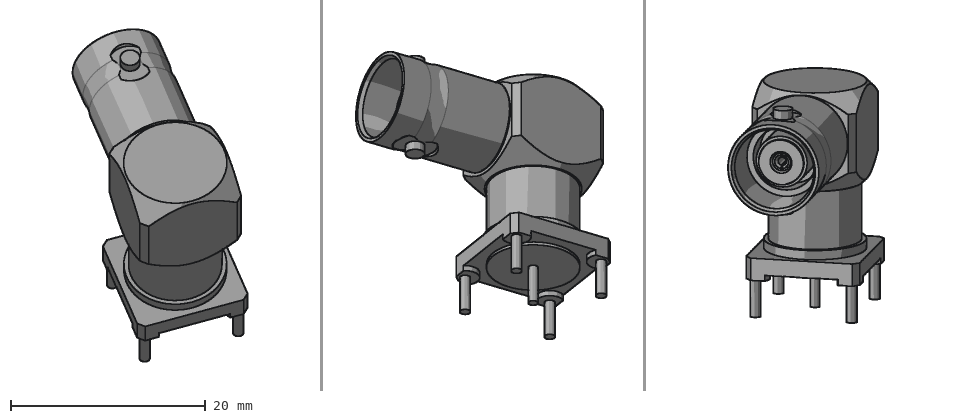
import cadquery as cq
import math


BASE_SIDE = 12.0
BASE_TOP = 2.35
BASE_CORNER_CHAMFER = 0.65
FOOT_HEIGHT = 0.6
FOOT_RADIUS = 1.5
INSULATOR_RADIUS = 4.8
INSULATOR_BOTTOM = 0.26
PIN_OFFSET = 5.08
PIN_RADIUS = 0.55
PIN_LENGTH = 4.0
SIGNAL_PIN_RADIUS = 0.5
SIGNAL_PIN_END = -3.9

COLLAR_RADIUS = 5.28
COLLAR_HEIGHT = 0.97
STEM_RADIUS = 4.8

ELBOW_SIDE = 11.0
ELBOW_BOTTOM = 9.5
ELBOW_TOP = 20.0
ELBOW_EDGE_CHAMFER = 0.7
ELBOW_TOP_FLAT_RADIUS = 5.3
ELBOW_BOTTOM_FLAT_RADIUS = 5.0

AXIS_Z = 15.0
BARREL_RADIUS = 4.8
BARREL_FRONT = -18.38
BARREL_END_TAPER = 0.25

LUG_X = BARREL_FRONT + 4.22
LUG_RADIUS = 1.0
LUG_REACH = 5.5
PAD_HEIGHT = 4.54
PAD_FLOOR_RADIUS = 2.28
PAD_RIM_RADIUS = 2.45
WAIST_DEPTH = 0.12
WAIST_HALF_WIDTH = 1.03

RIM_RADIUS = 4.43
LEAD_IN_DEPTH = 0.45
BORE_MOUTH_RADIUS = 4.18
BORE_FLOOR_RADIUS = 3.98
BORE_DEPTH = 5.0
INNER_BORE_RADIUS = 3.32
INNER_BORE_DEPTH = 8.0
DIELECTRIC_RADIUS = 2.68
DIELECTRIC_TIP_RADIUS = 2.36
DIELECTRIC_FACE_DEPTH = 3.35
DIELECTRIC_SHOULDER_DEPTH = DIELECTRIC_FACE_DEPTH + 0.33
ENTRY_RADIUS = 1.14
CONTACT_RADIUS = 0.94
CONTACT_FACE_DEPTH = DIELECTRIC_FACE_DEPTH + 0.25
CONTACT_MOUTH_RADIUS = 0.72
CONTACT_HOLE_RADIUS = 0.43
CONTACT_HOLE_DEPTH = CONTACT_FACE_DEPTH + 3.0
SLIT_WIDTH = 0.16
SLIT_HALF_HEIGHT = 0.87


def upright_cylinder(radius, bottom, top, x=0.0, y=0.0):
    return cq.Workplane("XY", origin=(x, y, bottom)).circle(radius).extrude(top - bottom)


def chamfered_block(side, bottom, top, chamfer):
    block = cq.Workplane("XY", origin=(0, 0, bottom)).rect(side, side).extrude(top - bottom)
    return block.edges("|Z").chamfer(chamfer)


def revolve_on_barrel_axis(profile):
    """Revolve an (x, radius) outline sketched on the XZ plane about the barrel axis."""
    return profile.close().revolve(360, (0, 0), (1, 0))


def barrel_sketch():
    return cq.Workplane("XZ", origin=(0, 0, AXIS_Z))


def make_base():
    base = chamfered_block(BASE_SIDE, 0, BASE_TOP, BASE_CORNER_CHAMFER)
    corners = [(sx * PIN_OFFSET, sy * PIN_OFFSET) for sx in (-1, 1) for sy in (-1, 1)]

    feet = cq.Workplane("XY").pushPoints(corners).circle(FOOT_RADIUS).extrude(FOOT_HEIGHT)
    recess = cq.Workplane("XY").rect(BASE_SIDE, BASE_SIDE).extrude(FOOT_HEIGHT).cut(feet)
    base = base.cut(recess)

    base = base.union(upright_cylinder(INSULATOR_RADIUS, INSULATOR_BOTTOM, BASE_TOP))
    base = base.union(upright_cylinder(SIGNAL_PIN_RADIUS, SIGNAL_PIN_END, BASE_TOP))
    for x, y in corners:
        base = base.union(upright_cylinder(PIN_RADIUS, -PIN_LENGTH, BASE_TOP, x, y))
    return base


def make_stem():
    collar = upright_cylinder(COLLAR_RADIUS, BASE_TOP, BASE_TOP + COLLAR_HEIGHT)
    return collar.union(upright_cylinder(STEM_RADIUS, BASE_TOP, AXIS_Z))


def make_elbow():
    """Square block whose ends are turned to 45-degree cones."""
    block = chamfered_block(ELBOW_SIDE, ELBOW_BOTTOM, ELBOW_TOP, ELBOW_EDGE_CHAMFER)
    reach = ELBOW_SIDE / math.sqrt(2)
    envelope = (
        cq.Workplane("XZ")
        .moveTo(0, ELBOW_BOTTOM)
        .lineTo(ELBOW_BOTTOM_FLAT_RADIUS, ELBOW_BOTTOM)
        .lineTo(reach, ELBOW_BOTTOM + reach - ELBOW_BOTTOM_FLAT_RADIUS)
        .lineTo(reach, ELBOW_TOP - reach + ELBOW_TOP_FLAT_RADIUS)
        .lineTo(ELBOW_TOP_FLAT_RADIUS, ELBOW_TOP)
        .lineTo(0, ELBOW_TOP)
        .close()
        .revolve(360, (0, 0), (0, 1))
    )
    return block.intersect(envelope)


def make_barrel():
    """Barrel body with the waist around the lugs and a tapered end at the elbow."""
    elbow_face = -ELBOW_SIDE / 2
    return revolve_on_barrel_axis(
        barrel_sketch()
        .moveTo(BARREL_FRONT, 0)
        .lineTo(BARREL_FRONT, BARREL_RADIUS)
        .lineTo(LUG_X - WAIST_HALF_WIDTH, BARREL_RADIUS)
        .threePointArc(
            (LUG_X, BARREL_RADIUS - WAIST_DEPTH),
            (LUG_X + WAIST_HALF_WIDTH, BARREL_RADIUS),
        )
        .lineTo(elbow_face - BARREL_END_TAPER, BARREL_RADIUS)
        .lineTo(elbow_face, BARREL_RADIUS - BARREL_END_TAPER)
        .lineTo(elbow_face, 0)
    )


def make_pad_cutter(side):
    """Cone that relieves the barrel around a lug; side is +1 above and -1 below."""
    slope = (PAD_RIM_RADIUS - PAD_FLOOR_RADIUS) / (BARREL_RADIUS - PAD_HEIGHT)
    height = LUG_REACH - PAD_HEIGHT
    cone = cq.Solid.makeCone(
        PAD_FLOOR_RADIUS,
        PAD_FLOOR_RADIUS + slope * height,
        height,
        cq.Vector(LUG_X, 0, AXIS_Z + side * PAD_HEIGHT),
        cq.Vector(0, 0, side),
    )
    return cq.Workplane(cone)


def make_bore():
    """Stepped socket cavity, leaving the dielectric standing in its middle."""
    contact_mouth_end = CONTACT_FACE_DEPTH + CONTACT_MOUTH_RADIUS - CONTACT_HOLE_RADIUS
    outline = [
        (0, RIM_RADIUS),
        (LEAD_IN_DEPTH, BORE_MOUTH_RADIUS),
        (BORE_DEPTH, BORE_FLOOR_RADIUS),
        (BORE_DEPTH, INNER_BORE_RADIUS),
        (INNER_BORE_DEPTH, INNER_BORE_RADIUS),
        (INNER_BORE_DEPTH, DIELECTRIC_RADIUS),
        (DIELECTRIC_SHOULDER_DEPTH, DIELECTRIC_RADIUS),
        (DIELECTRIC_SHOULDER_DEPTH, DIELECTRIC_TIP_RADIUS),
        (DIELECTRIC_FACE_DEPTH, DIELECTRIC_TIP_RADIUS),
        (DIELECTRIC_FACE_DEPTH, ENTRY_RADIUS),
        (CONTACT_FACE_DEPTH, CONTACT_RADIUS),
        (CONTACT_FACE_DEPTH, CONTACT_MOUTH_RADIUS),
        (contact_mouth_end, CONTACT_HOLE_RADIUS),
        (CONTACT_HOLE_DEPTH, CONTACT_HOLE_RADIUS),
        (CONTACT_HOLE_DEPTH, 0),
    ]
    sketch = barrel_sketch().moveTo(BARREL_FRONT, 0)
    for depth, radius in outline:
        sketch = sketch.lineTo(BARREL_FRONT + depth, radius)
    return revolve_on_barrel_axis(sketch)


def make_contact_slit():
    """Upright slit that splits the centre contact into two spring fingers."""
    return (
        cq.Workplane("YZ", origin=(BARREL_FRONT + CONTACT_FACE_DEPTH, 0, AXIS_Z))
        .rect(SLIT_WIDTH, 2 * SLIT_HALF_HEIGHT)
        .extrude(CONTACT_HOLE_DEPTH - CONTACT_FACE_DEPTH)
    )


def make_socket():
    barrel = make_barrel()
    for side in (-1, 1):
        barrel = barrel.cut(make_pad_cutter(side))
    lugs = upright_cylinder(LUG_RADIUS, AXIS_Z - LUG_REACH, AXIS_Z + LUG_REACH, LUG_X)
    return barrel.union(lugs).cut(make_bore()).cut(make_contact_slit())


result = make_base().union(make_stem()).union(make_elbow()).union(make_socket())